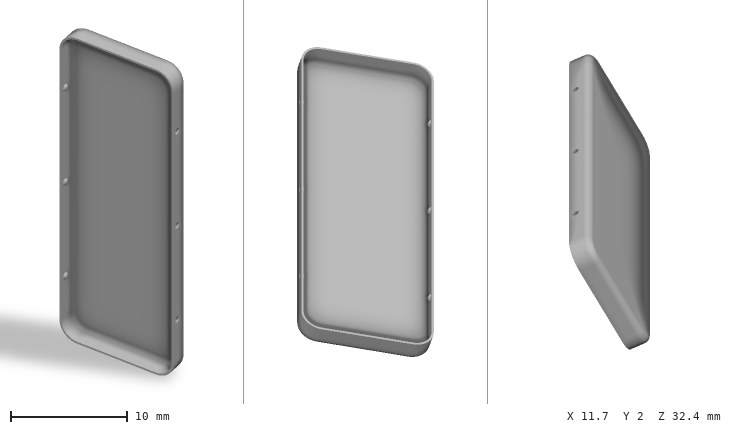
import cadquery as cq

width = 11.7
depth = 2.0
height = 32.4
corner_radius = 1.8
back_edge_radius = 0.6
wall = 0.2

dent_radius = 0.3
bump_radius = 0.4
dimple_pitch = 10.0
dimple_count = 3
dimple_setback = 0.6

rim_y = -depth / 2
back_y = depth / 2


def rounded_block(inset):
    """Block with rounded corners and back edge, inset from the outer faces but flush with the rim."""
    block_depth = depth - inset
    return (
        cq.Workplane("XZ", origin=(0, back_y - inset, 0))
        .rect(width - 2 * inset, height - 2 * inset)
        .extrude(block_depth)
        .edges("|Y")
        .fillet(corner_radius - inset)
        .faces(">Y")
        .edges()
        .fillet(back_edge_radius - inset)
    )


def dimple_ball(radius, side, z):
    """Ball centred on an outer side face; side is -1 for the -X face and +1 for the +X face."""
    center = (side * width / 2, rim_y + dimple_setback, z)
    return cq.Workplane("XY").sphere(radius, direct=(0, 1, 0)).translate(center)


def add_dimple(body, side, z):
    """Raise a domed bump on the inner wall, then sink the matching dent from outside."""
    bump = dimple_ball(bump_radius, side, z).intersect(rounded_block(0))
    return body.union(bump).cut(dimple_ball(dent_radius, side, z))


result = rounded_block(0).cut(rounded_block(wall))
for side in (-1, 1):
    for index in range(dimple_count):
        z = (index - (dimple_count - 1) / 2) * dimple_pitch
        result = add_dimple(result, side, z)